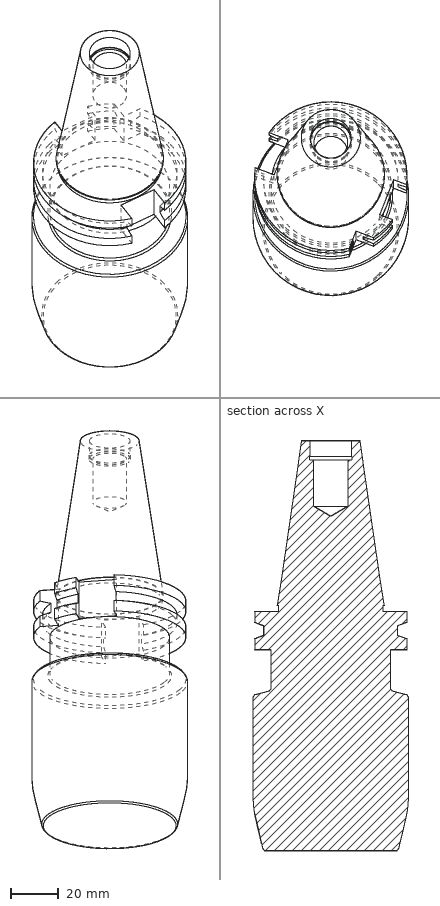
import cadquery as cq

total_height = 171.2
body_radius = 32.5

nose_tip_radius = 28.5
nose_edge_chamfer = 0.7
nose_top_radius = 32.2
nose_middle_radius = 30.5
nose_top_z = 17.0
nose_middle_z = 8.9
body_bottom_z = 21.0

body_top_z = 64.2
shoulder_edge_radius = 31.9
shoulder_edge_z = 65.2
shoulder_top_radius = 25.9
shoulder_top_z = 66.8
neck_radius = 25.0
neck_bottom_z = 67.6

flange_radius = 31.9
flange_bottom_z = 83.9
flange_top_z = 100.0
groove_radius = 28.0
groove_middle_z = (flange_bottom_z + flange_top_z) / 2
groove_floor_width = 4.0
groove_mouth_width = 6.7

relief_radius = 44.0 / 2
taper_bottom_radius = 22.5
taper_bottom_z = 102.4
taper_top_radius = 12.3

slot_width = 16.1
left_slot_floor_x = -25.0
right_slot_floor_x = 22.3
notch_wall_x = -18.3
notch_wall_y = 18.2

bore_radius = 17.0 / 2
bore_depth = 8.0
undercut_radius = 17.5 / 2
undercut_height = 1.4
pilot_radius = 14.0 / 2
pilot_depth = 27.4
drill_tip_height = 4.1


def make_turned_body():
    """Revolve the outer half profile around Z."""
    floor_half = groove_floor_width / 2
    mouth_half = groove_mouth_width / 2
    return (
        cq.Workplane("XZ")
        .lineTo(nose_tip_radius - nose_edge_chamfer, 0)
        .lineTo(nose_tip_radius, nose_edge_chamfer)
        .threePointArc((nose_middle_radius, nose_middle_z), (nose_top_radius, nose_top_z))
        .lineTo(body_radius, body_bottom_z)
        .lineTo(body_radius, body_top_z)
        .lineTo(shoulder_edge_radius, shoulder_edge_z)
        .lineTo(shoulder_top_radius, shoulder_top_z)
        .lineTo(neck_radius, neck_bottom_z)
        .lineTo(neck_radius, flange_bottom_z)
        .lineTo(flange_radius, flange_bottom_z)
        .lineTo(flange_radius, groove_middle_z - mouth_half)
        .lineTo(groove_radius, groove_middle_z - floor_half)
        .lineTo(groove_radius, groove_middle_z + floor_half)
        .lineTo(flange_radius, groove_middle_z + mouth_half)
        .lineTo(flange_radius, flange_top_z)
        .lineTo(relief_radius, flange_top_z)
        .lineTo(relief_radius, taper_bottom_z)
        .lineTo(taper_bottom_radius, taper_bottom_z)
        .lineTo(taper_top_radius, total_height)
        .lineTo(0, total_height)
        .close()
        .revolve(360, (0, 0), (0, 1))
    )


def make_bore():
    """Revolve the stepped bore, its undercut and its conical drill tip."""
    undercut_bottom_z = total_height - bore_depth
    undercut_top_z = undercut_bottom_z + undercut_height
    pilot_bottom_z = total_height - pilot_depth
    return (
        cq.Workplane("XZ")
        .moveTo(0, total_height)
        .lineTo(bore_radius, total_height)
        .lineTo(bore_radius, undercut_top_z)
        .lineTo(undercut_radius, undercut_top_z)
        .lineTo(undercut_radius, undercut_bottom_z)
        .lineTo(pilot_radius, undercut_bottom_z)
        .lineTo(pilot_radius, pilot_bottom_z)
        .lineTo(0, pilot_bottom_z - drill_tip_height)
        .close()
        .revolve(360, (0, 0), (0, 1))
    )


def flange_cutter(x_start, x_end, y_start, y_end):
    """Make a box that spans exactly the flange height."""
    return cq.Workplane("XY").box(
        x_end - x_start,
        y_end - y_start,
        flange_top_z - flange_bottom_z,
        centered=False,
    ).translate((x_start, y_start, flange_bottom_z))


slot_half = slot_width / 2
left_slot = flange_cutter(-body_radius, left_slot_floor_x, -slot_half, slot_half)
right_slot = flange_cutter(right_slot_floor_x, body_radius, -slot_half, slot_half)
notch = flange_cutter(-body_radius, notch_wall_x, notch_wall_y, body_radius)

result = make_turned_body().cut(make_bore())
for cutter in (left_slot, right_slot, notch):
    result = result.cut(cutter)